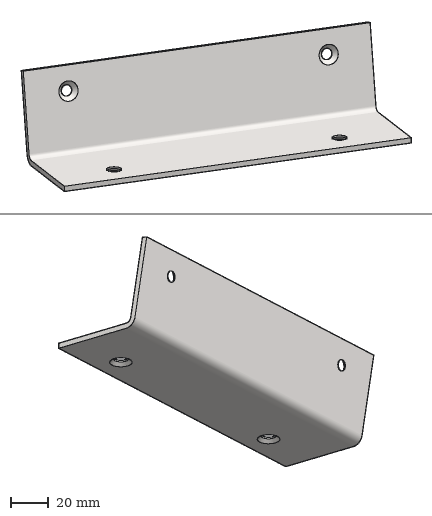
import cadquery as cq
import math

length = 200.0
thickness = 3.0
outer_radius = 6.0
lean_angle = 10.0
overall_width = 58.5
overall_height = 49.8

sink_angle = 90.0
base_hole_diameter = 8.0
base_sink_diameter = 12.0
base_hole_spacing = 130.0
base_hole_edge_distance = 15.0
leg_hole_diameter = 6.0
leg_sink_diameter = 11.0
leg_hole_spacing = 150.0
leg_hole_tip_distance = 14.0

lean_sin = math.sin(math.radians(lean_angle))
lean_cos = math.cos(math.radians(lean_angle))
inner_radius = outer_radius - thickness
leg_length = (overall_height - outer_radius + inner_radius * lean_sin) / lean_cos
base_length = overall_width - outer_radius * lean_cos - leg_length * lean_sin


def bend_point(radius, angle):
    """Point on a bend arc; the bend axis is above the origin, angle in degrees from +X."""
    turn = math.radians(angle)
    return (radius * math.cos(turn), outer_radius + radius * math.sin(turn))


def along_leg(point, distance):
    """Move a profile point up the leaning leg."""
    return (point[0] - distance * lean_sin, point[1] + distance * lean_cos)


leg_start_angle = 180 + lean_angle
base_start_angle = 270
bend_middle_angle = (leg_start_angle + base_start_angle) / 2
outer_leg_start = bend_point(outer_radius, leg_start_angle)
inner_leg_start = bend_point(inner_radius, leg_start_angle)

result = (
    cq.Workplane("XZ")
    .moveTo(0, 0)
    .lineTo(base_length, 0)
    .lineTo(base_length, thickness)
    .lineTo(0, thickness)
    .threePointArc(bend_point(inner_radius, bend_middle_angle), inner_leg_start)
    .lineTo(*along_leg(inner_leg_start, leg_length))
    .lineTo(*along_leg(outer_leg_start, leg_length))
    .lineTo(*outer_leg_start)
    .threePointArc(bend_point(outer_radius, bend_middle_angle), (0, 0))
    .close()
    .extrude(length / 2, both=True)
)


def drill_pair(body, plane, diameter, sink_diameter, spacing):
    """Drill two holes through the sheet, spaced along the plane's X axis and sunk from the plane."""
    return (
        body.copyWorkplane(cq.Workplane(plane))
        .rarray(spacing, 2, 2, 1)
        .cskHole(diameter, sink_diameter, sink_angle, depth=thickness)
    )


base_plane = cq.Plane(
    origin=(base_length - base_hole_edge_distance, 0, 0),
    xDir=(0, 1, 0),
    normal=(0, 0, -1),
)
result = drill_pair(result, base_plane, base_hole_diameter, base_sink_diameter, base_hole_spacing)

leg_hole_x, leg_hole_z = along_leg(inner_leg_start, leg_length - leg_hole_tip_distance)
leg_plane = cq.Plane(
    origin=(leg_hole_x, 0, leg_hole_z),
    xDir=(0, 1, 0),
    normal=(lean_cos, 0, lean_sin),
)
result = drill_pair(result, leg_plane, leg_hole_diameter, leg_sink_diameter, leg_hole_spacing)